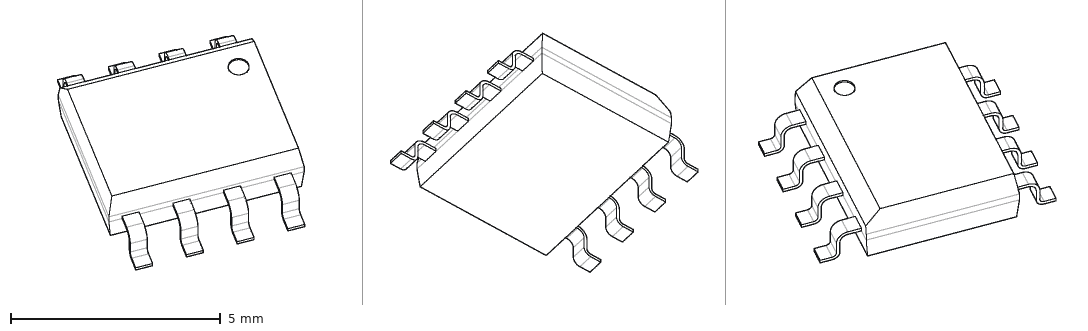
import cadquery as cq

overall_span = 6.0
overall_height = 1.55

body_width = 3.9
body_length = 4.9
body_bottom_z = 0.11
band_bottom_z = 0.72
band_top_z = 0.92
top_inset = 0.11
bottom_inset = 0.055
pin_side_chamfer = 0.39

mark_diameter = 0.5
mark_depth = 0.05
mark_from_pin_side = 1.0
mark_from_end = 0.7

leads_per_side = 4
lead_pitch = 1.27
lead_width = 0.425
lead_thickness = 0.09
lead_rise_inset = 0.415
shoulder_inner_radius = 0.2
foot_inner_radius = 0.11
lead_embed = 0.12

shoulder_outer_radius = shoulder_inner_radius + lead_thickness
foot_outer_radius = foot_inner_radius + lead_thickness


def frustum(start_z, end_z, left_inset, side_inset):
    """Body section tapering from the full band size at start_z to an inset rectangle at end_z."""
    end_width = body_width - left_inset - side_inset
    end_length = body_length - 2 * side_inset
    end_center_x = (left_inset - side_inset) / 2
    return (
        cq.Workplane("XY", origin=(0, 0, start_z))
        .rect(body_width, body_length)
        .workplane(offset=end_z - start_z)
        .center(end_center_x, 0)
        .rect(end_width, end_length)
        .loft(ruled=True)
    )


def make_body():
    """Straight band with a tapered lower part and a tapered upper part whose -X face is upright."""
    band = cq.Workplane("XY", origin=(0, 0, band_bottom_z)).box(
        body_width, body_length, band_top_z - band_bottom_z, centered=(True, True, False)
    )
    lower = frustum(band_bottom_z, body_bottom_z, bottom_inset, bottom_inset)
    upper = frustum(band_top_z, overall_height, 0, top_inset)
    body = band.union(lower).union(upper)
    return body.faces(">Z").edges("<X").chamfer(pin_side_chamfer)


def make_pin_mark():
    """Shallow round recess in the top face beside pin 1."""
    mark_x = mark_from_pin_side - body_width / 2
    mark_y = body_length / 2 - mark_from_end
    return (
        cq.Workplane("XY", origin=(mark_x, mark_y, overall_height - mark_depth))
        .circle(mark_diameter / 2)
        .extrude(mark_depth)
    )


def make_lead():
    """Gull-wing lead on the -X side, centred on Y = 0."""
    tip_x = -overall_span / 2
    outer_x = tip_x + lead_rise_inset
    inner_x = outer_x + lead_thickness
    root_x = -body_width / 2 + lead_embed
    shoulder_bottom_z = band_bottom_z
    shoulder_top_z = shoulder_bottom_z + lead_thickness
    foot_bend_x = outer_x - foot_inner_radius
    foot_bend_z = foot_outer_radius
    shoulder_bend_x = inner_x + shoulder_inner_radius
    shoulder_bend_z = shoulder_bottom_z - shoulder_inner_radius
    return (
        cq.Workplane("XZ", origin=(0, lead_width / 2, 0))
        .moveTo(tip_x, 0)
        .lineTo(foot_bend_x, 0)
        .radiusArc((inner_x, foot_bend_z), -foot_outer_radius)
        .lineTo(inner_x, shoulder_bend_z)
        .radiusArc((shoulder_bend_x, shoulder_bottom_z), shoulder_inner_radius)
        .lineTo(root_x, shoulder_bottom_z)
        .lineTo(root_x, shoulder_top_z)
        .lineTo(shoulder_bend_x, shoulder_top_z)
        .radiusArc((outer_x, shoulder_bend_z), -shoulder_outer_radius)
        .lineTo(outer_x, foot_bend_z)
        .radiusArc((foot_bend_x, lead_thickness), foot_inner_radius)
        .lineTo(tip_x, lead_thickness)
        .close()
        .extrude(lead_width)
    )


result = make_body().cut(make_pin_mark())

left_lead = make_lead()
right_lead = left_lead.mirror("YZ")
first_lead_y = -lead_pitch * (leads_per_side - 1) / 2
for index in range(leads_per_side):
    offset = (0, first_lead_y + index * lead_pitch, 0)
    result = result.union(left_lead.translate(offset))
    result = result.union(right_lead.translate(offset))